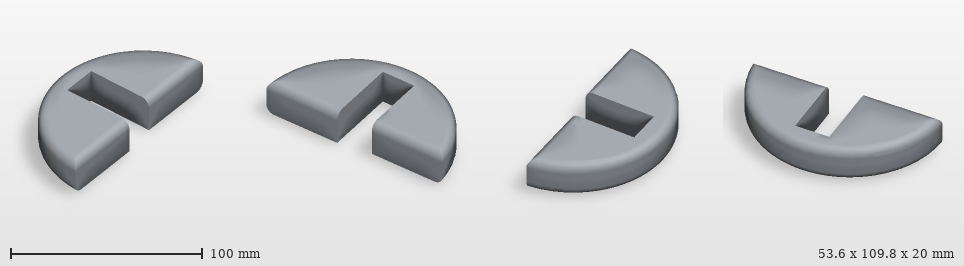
import cadquery as cq

disc_radius = 55.0
thickness = 20.0
edge_radius = thickness / 4
slot_width = 20.0
slot_floor_wall = 12.0
front_gap = 1.4
back_gap = 4.4

slot_floor_x = -disc_radius + slot_floor_wall


def leg_block(x_limit, y_sign):
    """Block bounding one leg: X below x_limit, on one side of Y = 0."""
    return cq.Workplane("XY").box(
        disc_radius, disc_radius, thickness, centered=(True, True, False)
    ).translate((x_limit - disc_radius / 2, y_sign * disc_radius / 2, 0))


disc = cq.Workplane("XY").circle(disc_radius).extrude(thickness)
legs = leg_block(-front_gap, -1).union(leg_block(-back_gap, 1))
body = disc.intersect(legs)

slot = cq.Workplane("XY").box(
    disc_radius, slot_width, thickness, centered=(False, True, False)
).translate((slot_floor_x, 0, 0))
body = body.cut(slot).clean()

leg_end_edges = body.faces(">Z").edges("|Y").edges(
    cq.selectors.BoxSelector(
        (-back_gap - edge_radius, -disc_radius, 0),
        (disc_radius, disc_radius, 2 * thickness),
    )
)
top_edges = body.faces(">Z").edges("%CIRCLE").add(leg_end_edges)
body = body.newObject(top_edges.vals()).fillet(edge_radius)
result = body.faces("<Z").edges("%CIRCLE").fillet(edge_radius)